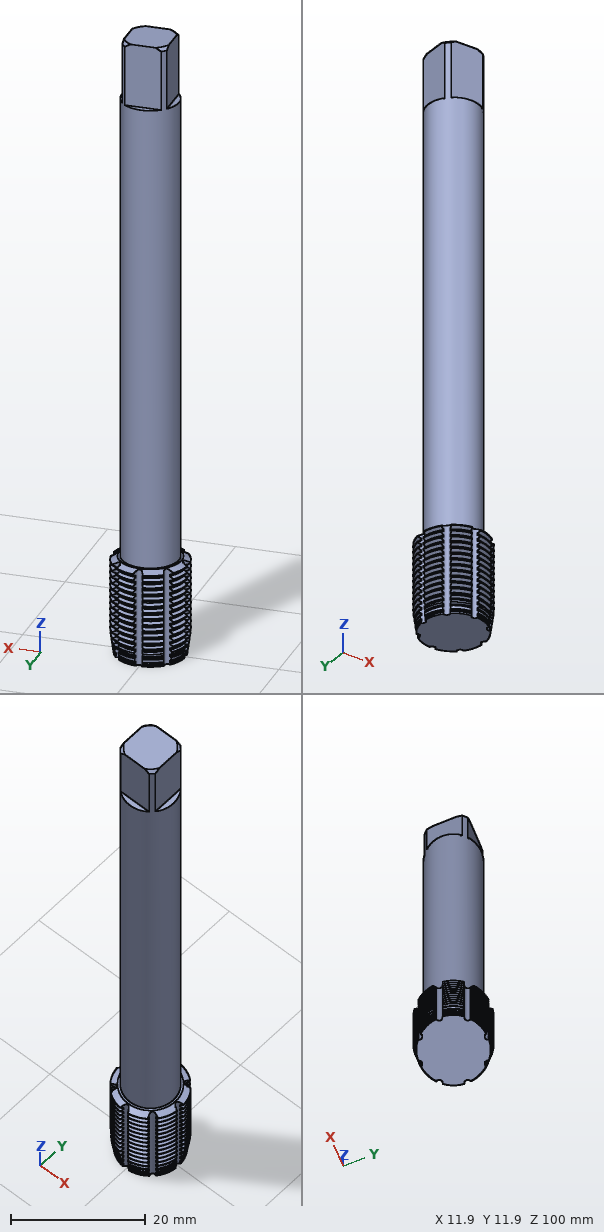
import cadquery as cq
import math

total_length = 100.0
shank_radius = 4.5
square_width = 7.0
square_length = 10.0
square_end_chamfer = 0.5
square_bottom = total_length - square_length

head_length = 15.6
collar_radius = 4.9
pitch = 1.0
crest_radius = 6.01
root_radius = 5.43
crest_flat = pitch / 8
root_flat = pitch / 4
ring_count = 16
top_crest_height = 15.0

lead_length = 3.6
tip_radius = 5.5

flute_count = 8
flute_bottom_distance = 5.05
flute_bottom_radius = 0.5
flute_flank_angle = 28.0
flute_outer_distance = 6.5


def make_shank():
    """Round shank, with a square on its end whose corners are left from the round bar."""
    bar = (
        cq.Workplane("XY").workplane(offset=head_length)
        .circle(shank_radius).extrude(total_length - head_length)
        .faces(">Z").chamfer(square_end_chamfer)
    )
    milled_ring = (
        cq.Workplane("XY").workplane(offset=square_bottom)
        .circle(2 * shank_radius).rect(square_width, square_width).extrude(square_length)
    )
    return bar.cut(milled_ring)


def make_ridged_blank():
    """Head with a conical shoulder and equally spaced thread rings, before the lead and flutes are cut."""
    points = [(0, head_length), (collar_radius, head_length)]
    for index in range(ring_count):
        crest_height = top_crest_height - index * pitch
        root_height = crest_height - pitch / 2
        points.append((crest_radius, crest_height + crest_flat / 2))
        points.append((crest_radius, crest_height - crest_flat / 2))
        points.append((root_radius, root_height + root_flat / 2))
        points.append((root_radius, root_height - root_flat / 2))
    points.append((0, points[-1][1]))
    return cq.Workplane("XZ").polyline(points).close().revolve(360, (0, 0), (0, 1))


def make_lead_envelope():
    """Space that the head may fill: a cone at the tip, a cylinder above it."""
    outline = [
        (0, 0),
        (tip_radius, 0),
        (crest_radius, lead_length),
        (crest_radius, head_length),
        (0, head_length),
    ]
    return cq.Workplane("XZ").polyline(outline).close().revolve(360, (0, 0), (0, 1))


def make_flute(angle):
    """Cutter for one flute, turned to the given angle about Z."""
    flank = math.radians(flute_flank_angle)
    arc_center = flute_bottom_distance + flute_bottom_radius
    tangent_x = arc_center - flute_bottom_radius * math.sin(flank)
    tangent_y = flute_bottom_radius * math.cos(flank)
    outer_y = tangent_y + (flute_outer_distance - tangent_x) * math.tan(flank)
    return (
        cq.Workplane("XY")
        .moveTo(flute_outer_distance, -outer_y)
        .lineTo(tangent_x, -tangent_y)
        .threePointArc((flute_bottom_distance, 0), (tangent_x, tangent_y))
        .lineTo(flute_outer_distance, outer_y)
        .close()
        .extrude(head_length)
        .rotate((0, 0, 0), (0, 0, 1), angle)
    )


def make_head():
    head = make_ridged_blank().intersect(make_lead_envelope())
    for index in range(flute_count):
        head = head.cut(make_flute(index * 360 / flute_count))
    return head


shank = make_shank()
head = make_head()
result = cq.Compound.makeCompound([shank.val(), head.val()])